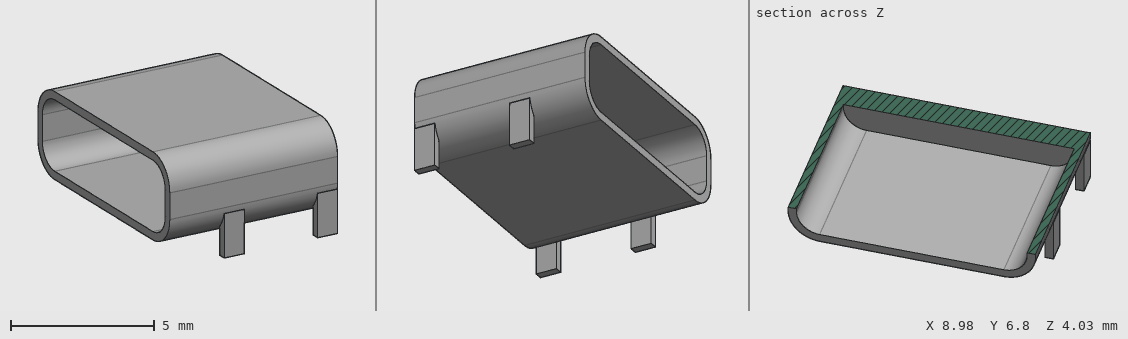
import cadquery as cq

width = 8.98
depth = 6.8
total_height = 4.03
shell_height = 3.3
corner_radius = 1.15
wall = 0.31
back_thickness = 1.0

leg_length = 0.81
leg_height = 1.66
rear_leg_gap = 2.97

mouth_y = -depth / 2
back_y = depth / 2
leg_bottom_z = shell_height / 2 - total_height
rear_leg_y = back_y - leg_length
front_leg_y = rear_leg_y - rear_leg_gap - leg_length


def rounded_bar(bar_width, bar_height, radius, length):
    """Bar with rounded long edges, running from the mouth toward the back."""
    bar = cq.Workplane("XY").box(bar_width, length, bar_height).edges("|Y").fillet(radius)
    return bar.translate((0, mouth_y + length / 2, 0))


def leg(x_start, y_start):
    """Flat upright leg, as thick as the shell wall."""
    block = cq.Workplane("XY").box(wall, leg_length, leg_height, centered=False)
    return block.translate((x_start, y_start, leg_bottom_z))


shell = rounded_bar(width, shell_height, corner_radius, depth)
cavity = rounded_bar(
    width - 2 * wall,
    shell_height - 2 * wall,
    corner_radius - wall,
    depth - back_thickness,
)
result = shell.cut(cavity)

for x_start in (-width / 2, width / 2 - wall):
    for y_start in (rear_leg_y, front_leg_y):
        result = result.union(leg(x_start, y_start))